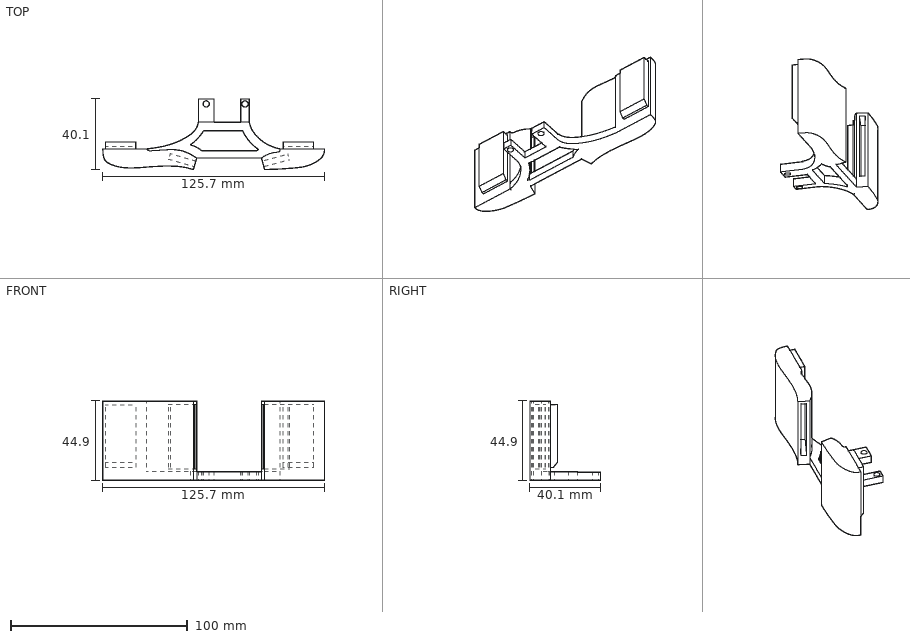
import cadquery as cq

LENGTH = 125.7
DEPTH = 40.1
HEIGHT = 44.9
BACK_Y = 11.8
BAR_FRONT_Y = 6.5
BRIDGE_BACK_Y = 26.9
BRIDGE_HEIGHT = 4.9

LEFT_END_FRONT = (51.4, 0)
LEFT_END_BACK = (53.3, BAR_FRONT_Y)
RIGHT_END_FRONT = (91.6, 0)
RIGHT_END_BACK = (89.9, BAR_FRONT_Y)

SLOT_WIDTH = 3.3
SLOT_DEPTH = 15.1
SLOT_BOTTOM = 6.5
SLOT_TOP = 43.0

PAD_WIDTH = 17.2
PAD_THICKNESS = 3.9
PAD_BOTTOM = 7.2
PAD_LIP = 1.4
PAD_SLOPE_TOP = 10.2
LEFT_PAD_X = 1.5
LEFT_PAD_TOP = 42.6
RIGHT_PAD_X = 102.2
RIGHT_PAD_TOP = 43.0

LEFT_TAB_X = 54.2
LEFT_TAB_WIDTH = 8.9
RIGHT_TAB_WIDTH = 5
RIGHT_TAB_END = 83.1
TAB_HEIGHT = 4.7
HOLE_DIAMETER = 3.4
HOLE_FROM_BACK = 2.9

WINDOW_FRONT_Y = 10.8
WINDOW_BACK_Y = 22.0

LEFT_TIP_X = 24.9
RIGHT_TIP_X = 100.4
BRIDGE_ROOT_Y = 9.4


def left_grip():
    """Wavy grip, with a shallow hollow along its front."""
    return (
        cq.Workplane("XY")
        .moveTo(LEFT_TIP_X, BACK_Y)
        .lineTo(0, BACK_Y)
        .spline(
            [(0.3, 8.2), (1.4, 5.2), (4.1, 3.1), (9.0, 1.5), (16.1, 0.9), (26.4, 1.5), (33.9, 2.0), (41.9, 1.9),
             LEFT_END_FRONT],
            tangents=[(0, -1)] + [None] * 9,
            includeCurrent=True,
        )
        .lineTo(*LEFT_END_BACK)
        .spline([(49.4, 8.9), (45.0, 10.7), (39.2, 11.4), (34.3, 11.2), (27.3, 10.7)], includeCurrent=True)
        .threePointArc((25.8, 10.9), (LEFT_TIP_X, BACK_Y))
        .close()
        .extrude(HEIGHT)
    )


def right_grip():
    """Shorter grip, bowed outward along its front."""
    return (
        cq.Workplane("XY")
        .moveTo(RIGHT_TIP_X, BACK_Y)
        .lineTo(LENGTH, BACK_Y)
        .spline(
            [(125.4, 9.4), (123.9, 6.8), (120.9, 4.4), (114.1, 1.6), (106.8, 0.8), (99.5, 0.3), RIGHT_END_FRONT],
            tangents=[(0, -1)] + [None] * 7,
            includeCurrent=True,
        )
        .lineTo(*RIGHT_END_BACK)
        .threePointArc((94.1, 8.9), (99.3, 9.9))
        .threePointArc((100.3, 10.7), (RIGHT_TIP_X, BACK_Y))
        .close()
        .extrude(HEIGHT)
    )


def bridge():
    """Low plate joining the grips, flared into their back faces."""
    plate = (
        cq.Workplane("XY")
        .moveTo(*LEFT_END_BACK)
        .lineTo(*RIGHT_END_BACK)
        .lineTo(RIGHT_TIP_X, BRIDGE_ROOT_Y)
        .lineTo(RIGHT_TIP_X, BACK_Y)
        .spline([(93.8, 14.1), (89.2, 17.1), (84.8, 22.1), (RIGHT_TAB_END, BRIDGE_BACK_Y)], includeCurrent=True)
        .lineTo(LEFT_TAB_X, BRIDGE_BACK_Y)
        .spline([(52.0, 22.1), (47.1, 18.2), (38.7, 14.5), (LEFT_TIP_X, BACK_Y)], includeCurrent=True)
        .lineTo(LEFT_TIP_X, BRIDGE_ROOT_Y)
        .close()
        .extrude(BRIDGE_HEIGHT)
    )
    window = (
        cq.Workplane("XY")
        .moveTo(56.0, WINDOW_FRONT_Y)
        .lineTo(87.2, WINDOW_FRONT_Y)
        .lineTo(88.1, 11.4)
        .threePointArc((82.5, 16.7), (79.2, WINDOW_BACK_Y))
        .lineTo(57.2, WINDOW_BACK_Y)
        .threePointArc((54, 17.8), (49.8, 14.1))
        .threePointArc((53.0, 12.8), (56.0, WINDOW_FRONT_Y))
        .close()
        .extrude(BRIDGE_HEIGHT)
    )
    return plate.cut(window)


def tab(start_x, width):
    """Drilled tab running back from the bridge."""
    length = DEPTH - BRIDGE_BACK_Y
    plate = cq.Workplane("XY").box(width, length, TAB_HEIGHT, centered=False)
    hole = (
        cq.Workplane("XY")
        .center(width / 2, length - HOLE_FROM_BACK)
        .circle(HOLE_DIAMETER / 2)
        .extrude(TAB_HEIGHT)
    )
    return plate.cut(hole).translate((start_x, BRIDGE_BACK_Y, 0))


def pad(start_x, top):
    """Raised pad on a back face, sloped at its lower edge."""
    back = BACK_Y + PAD_THICKNESS
    return (
        cq.Workplane("YZ", origin=(start_x, 0, 0))
        .polyline([
            (BACK_Y, PAD_BOTTOM),
            (BACK_Y + PAD_LIP, PAD_BOTTOM),
            (back, PAD_SLOPE_TOP),
            (back, top),
            (BACK_Y, top),
        ])
        .close()
        .extrude(PAD_WIDTH)
    )


def slot(front, back, inward):
    """Blind slot square to the end face; inward is the X sense into the grip."""
    face = cq.Vector(back[0] - front[0], back[1] - front[1], 0)
    middle = cq.Vector(*front, 0) + face * 0.5
    into_grip = cq.Vector(inward * face.y, -inward * face.x, 0).normalized()
    height = SLOT_TOP - SLOT_BOTTOM
    plane = cq.Plane(
        origin=(middle.x, middle.y, SLOT_BOTTOM + height / 2),
        xDir=face.toTuple(),
        normal=into_grip.toTuple(),
    )
    return cq.Workplane(plane).rect(SLOT_WIDTH, height).extrude(SLOT_DEPTH)


result = (
    left_grip()
    .union(right_grip())
    .union(bridge())
    .union(tab(LEFT_TAB_X, LEFT_TAB_WIDTH))
    .union(tab(RIGHT_TAB_END - RIGHT_TAB_WIDTH, RIGHT_TAB_WIDTH))
    .union(pad(LEFT_PAD_X, LEFT_PAD_TOP))
    .union(pad(RIGHT_PAD_X, RIGHT_PAD_TOP))
    .cut(slot(LEFT_END_FRONT, LEFT_END_BACK, -1))
    .cut(slot(RIGHT_END_FRONT, RIGHT_END_BACK, 1))
)